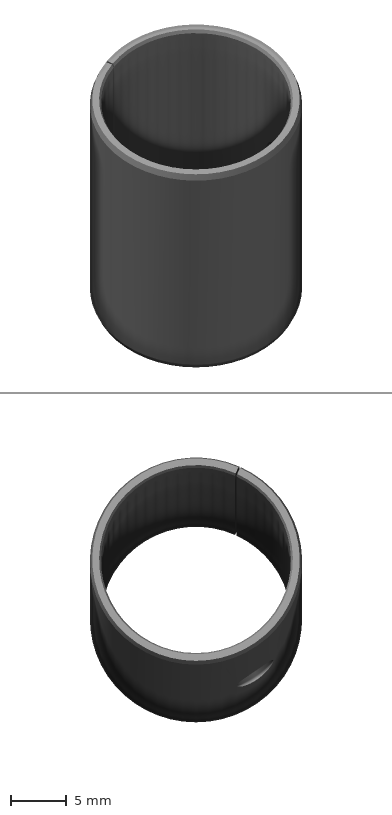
import cadquery as cq
import math

outer_diameter = 19.0
bore_diameter = 17.0
length = 25.0

outer_chamfer_length = 0.6
outer_chamfer_angle = 20.0
bore_chamfer_length = 0.3
bore_chamfer_angle = 30.0

oil_hole_diameter = 4.0
oil_hole_from_seam = 120.0
oil_hole_height = 0.0

seam_angle = 1.0
seam_end_azimuth = 180.0

oil_hole_azimuth = seam_end_azimuth - seam_angle - oil_hole_from_seam

outer_radius = outer_diameter / 2
bore_radius = bore_diameter / 2
half_length = length / 2
outer_chamfer_depth = outer_chamfer_length * math.tan(math.radians(outer_chamfer_angle))
bore_chamfer_depth = bore_chamfer_length * math.tan(math.radians(bore_chamfer_angle))


def make_split_sleeve():
    """Revolve the chamfered wall section about the Z axis, stopping short to leave the seam open."""
    wall_section = [
        (bore_radius, half_length - bore_chamfer_length),
        (bore_radius + bore_chamfer_depth, half_length),
        (outer_radius - outer_chamfer_depth, half_length),
        (outer_radius, half_length - outer_chamfer_length),
        (outer_radius, outer_chamfer_length - half_length),
        (outer_radius - outer_chamfer_depth, -half_length),
        (bore_radius + bore_chamfer_depth, -half_length),
        (bore_radius, bore_chamfer_length - half_length),
    ]
    sleeve = (
        cq.Workplane("XZ")
        .polyline(wall_section)
        .close()
        .revolve(360 - seam_angle, (0, 0), (0, 1))
    )
    return sleeve.rotate((0, 0, 0), (0, 0, 1), seam_end_azimuth)


def make_oil_hole():
    """Radial cylinder from the axis out through one side of the wall."""
    azimuth = math.radians(oil_hole_azimuth)
    direction = cq.Vector(math.cos(azimuth), math.sin(azimuth), 0)
    start = cq.Vector(0, 0, oil_hole_height)
    return cq.Solid.makeCylinder(oil_hole_diameter / 2, outer_diameter, start, direction)


result = make_split_sleeve().cut(cq.Workplane(make_oil_hole()))